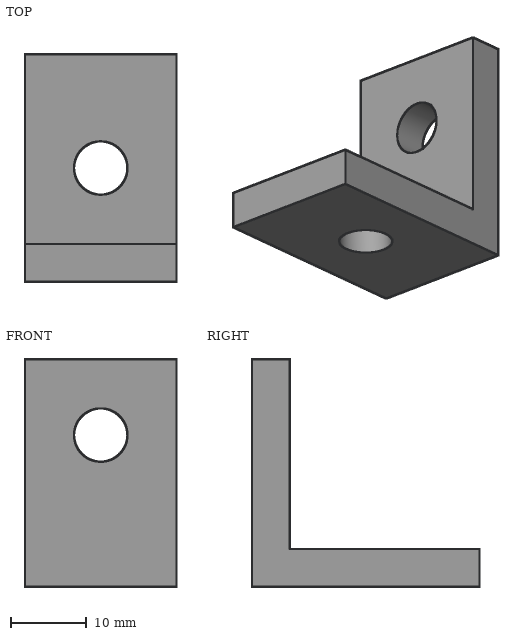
import cadquery as cq

width = 20.0
depth = 30.0
height = 30.0
thickness = 5.0

hole_diameter = 7.0
wall_hole_height = 20.0
base_hole_setback = 15.0


def make_base():
    """Horizontal leg with its vertical through hole."""
    plate = cq.Workplane("XY").box(width, depth, thickness, centered=(True, False, False))
    hole = (
        cq.Workplane("XY")
        .center(0, base_hole_setback)
        .circle(hole_diameter / 2)
        .extrude(thickness)
    )
    return plate.cut(hole)


def make_wall():
    """Upright leg at the front edge with its through hole along Y."""
    plate = cq.Workplane("XY").box(width, thickness, height, centered=(True, False, False))
    hole = (
        cq.Workplane("XZ")
        .center(0, wall_hole_height)
        .circle(hole_diameter / 2)
        .extrude(-thickness)
    )
    return plate.cut(hole)


result = make_base().union(make_wall())